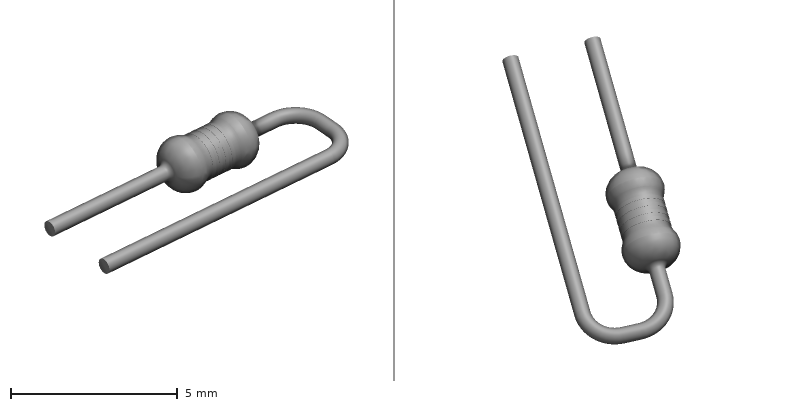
import cadquery as cq
import math


WIRE_RADIUS = 0.5 / 2
LEAD_PITCH = 2.54
BEND_RADIUS = 1.0
TOTAL_LENGTH = 10.05

BODY_CENTER_Y = 6.2
BULGE_RADIUS = 1.8 / 2
BULGE_OFFSET = 0.965
DOME_RADIUS = 0.65
LEAD_FILLET = 0.18
BARREL_RADIUS = 1.53 / 2
SHOULDER_RADIUS = 0.55

BAND_RADIUS = 1.55 / 2
BAND_WIDTH = 0.125
BAND_PITCH = 2 * BAND_WIDTH
BAND_COUNT = 4

BEND_TOP_Y = TOTAL_LENGTH - WIRE_RADIUS
BEND_START_Y = BEND_TOP_Y - BEND_RADIUS


def polar(center, radius, angle):
    """Point on a circle, with the angle in radians from the first axis."""
    return (center[0] + radius * math.cos(angle), center[1] + radius * math.sin(angle))


def make_half_body():
    """Half of the revolved body, from its middle plane towards +Y, before placement."""
    dome_center = (BULGE_RADIUS - DOME_RADIUS, BULGE_OFFSET)
    bulge_peak = (BULGE_RADIUS, BULGE_OFFSET)

    fillet_x = WIRE_RADIUS + LEAD_FILLET
    dome_to_fillet = math.acos((fillet_x - dome_center[0]) / (DOME_RADIUS + LEAD_FILLET))
    dome_end = polar(dome_center, DOME_RADIUS, dome_to_fillet)
    fillet_center = polar(dome_center, DOME_RADIUS + LEAD_FILLET, dome_to_fillet)
    fillet_end = (WIRE_RADIUS, fillet_center[1])
    fillet_mid = polar(fillet_center, LEAD_FILLET, math.pi + dome_to_fillet / 2)

    rise = BULGE_RADIUS - BARREL_RADIUS
    shoulder_angle = math.acos(1 - rise / (2 * SHOULDER_RADIUS))
    convex_center = (BULGE_RADIUS - SHOULDER_RADIUS, BULGE_OFFSET)
    inflection = polar(convex_center, SHOULDER_RADIUS, -shoulder_angle)
    convex_mid = polar(convex_center, SHOULDER_RADIUS, -shoulder_angle / 2)
    barrel_end_y = BULGE_OFFSET - 2 * SHOULDER_RADIUS * math.sin(shoulder_angle)
    concave_center = (BARREL_RADIUS + SHOULDER_RADIUS, barrel_end_y)
    concave_mid = polar(concave_center, SHOULDER_RADIUS, math.pi - shoulder_angle / 2)

    profile = (
        cq.Workplane("XY")
        .moveTo(0, 0)
        .lineTo(BARREL_RADIUS, 0)
        .lineTo(BARREL_RADIUS, barrel_end_y)
        .threePointArc(concave_mid, inflection)
        .threePointArc(convex_mid, bulge_peak)
        .threePointArc(polar(dome_center, DOME_RADIUS, dome_to_fillet / 2), dome_end)
        .threePointArc(fillet_mid, fillet_end)
        .lineTo(0, fillet_end[1])
        .close()
    )
    return profile.revolve(360, (0, 0, 0), (0, 1, 0))


def make_band(center_y):
    """Slightly raised ring around the barrel."""
    start_y = center_y + BAND_WIDTH / 2
    return cq.Workplane("XZ", origin=(0, start_y, 0)).circle(BAND_RADIUS).extrude(BAND_WIDTH)


def make_body():
    half = make_half_body()
    body = half.union(half.mirror("XZ"))
    for index in range(BAND_COUNT):
        body = body.union(make_band((index - (BAND_COUNT - 1) / 2) * BAND_PITCH))
    return body.translate((0, BODY_CENTER_Y, 0))


def make_wire():
    """Round wire through the body, over two quarter bends and back down."""
    bend_diagonal = BEND_RADIUS * math.sqrt(0.5)
    left_bend_x = BEND_RADIUS
    right_bend_x = LEAD_PITCH - BEND_RADIUS
    bend_mid_y = BEND_START_Y + bend_diagonal
    path = (
        cq.Workplane("XY")
        .moveTo(0, 0)
        .lineTo(0, BEND_START_Y)
        .threePointArc((left_bend_x - bend_diagonal, bend_mid_y), (left_bend_x, BEND_TOP_Y))
        .lineTo(right_bend_x, BEND_TOP_Y)
        .threePointArc((right_bend_x + bend_diagonal, bend_mid_y), (LEAD_PITCH, BEND_START_Y))
        .lineTo(LEAD_PITCH, 0)
    )
    return cq.Workplane("XZ").circle(WIRE_RADIUS).sweep(path)


result = make_wire().union(make_body())